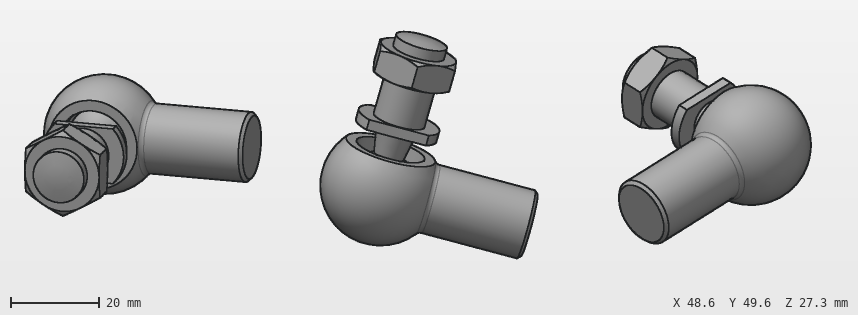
import cadquery as cq
import math

housing_radius = 13.65
face_y = -8.75
tube_radius = 16.0 / 2
tube_end_x = 35.0
tube_chamfer = 0.8
neck_fillet = 1.5
retainer_y = -4.0
retainer_rise = 0.85

ball_radius = tube_radius
neck_radius = 3.75
cone_base_radius = 4.65
collar_top_y = -13.5
collar_thickness = 2.5
collar_radius = 9.5
collar_flat_width = 12.95
stud_radius = 12.0 / 2
stud_end_y = -35.95
dome_height = 0.8

nut_top_y = -25.95
nut_thickness = 6.65
nut_width = 17.6
nut_chamfer_angle = 30
nut_turn_angle = 30


def cylinder_y(radius, start_y, end_y):
    """Solid cylinder along Y between two levels."""
    plane = cq.Workplane("XZ", origin=(0, start_y, 0))
    return plane.circle(radius).extrude(start_y - end_y)


def make_housing():
    blend_r = tube_radius + neck_fillet
    blend_x = math.sqrt((housing_radius + neck_fillet) ** 2 - blend_r ** 2)
    tangent_scale = housing_radius / (housing_radius + neck_fillet)
    sphere_tangent = (blend_x * tangent_scale, blend_r * tangent_scale)
    mid_angle = (math.atan2(-blend_r, -blend_x) - math.pi / 2) / 2
    blend_mid = (
        blend_x + neck_fillet * math.cos(mid_angle),
        blend_r + neck_fillet * math.sin(mid_angle),
    )
    body = (
        cq.Workplane("XY")
        .moveTo(-housing_radius, 0)
        .threePointArc((0, housing_radius), sphere_tangent)
        .threePointArc(blend_mid, (blend_x, tube_radius))
        .lineTo(tube_end_x - tube_chamfer, tube_radius)
        .lineTo(tube_end_x, tube_radius - tube_chamfer)
        .lineTo(tube_end_x, 0)
        .close()
        .revolve(360, (0, 0, 0), (1, 0, 0))
    )
    body = body.cut(cylinder_y(2 * housing_radius, face_y, -2 * housing_radius))
    socket = (
        cq.Workplane("XY")
        .moveTo(0, face_y)
        .lineTo(ball_radius, face_y)
        .lineTo(ball_radius, retainer_y)
        .lineTo(ball_radius - retainer_rise, retainer_y + retainer_rise)
        .lineTo(0, retainer_y + retainer_rise)
        .close()
        .revolve(360, (0, 0, 0), (0, 1, 0))
    )
    return body.cut(socket)


def make_stud():
    taper = (cone_base_radius - neck_radius) / (face_y - collar_top_y)
    neck_start_y = -ball_radius / 2
    neck_start_radius = cone_base_radius - taper * (neck_start_y - collar_top_y)
    shoulder_y = stud_end_y + dome_height
    dome_radius = (stud_radius ** 2 + dome_height ** 2) / (2 * dome_height)
    dome_mid_r = stud_radius / 2
    dome_mid_y = stud_end_y + dome_radius - math.sqrt(dome_radius ** 2 - dome_mid_r ** 2)
    shank = (
        cq.Workplane("XY")
        .moveTo(0, neck_start_y)
        .lineTo(neck_start_radius, neck_start_y)
        .lineTo(cone_base_radius, collar_top_y)
        .lineTo(stud_radius, collar_top_y)
        .lineTo(stud_radius, shoulder_y)
        .threePointArc((dome_mid_r, dome_mid_y), (0, stud_end_y))
        .close()
        .revolve(360, (0, 0, 0), (0, 1, 0))
    )
    collar = cylinder_y(collar_radius, collar_top_y, collar_top_y - collar_thickness)
    flats = cq.Workplane("XY").box(2 * collar_radius, -2 * stud_end_y, collar_flat_width)
    ball = cq.Workplane("XY").sphere(ball_radius)
    return ball.union(shank).union(collar.intersect(flats))


def make_nut():
    corner_radius = nut_width / math.sqrt(3)
    flat_radius = nut_width / 2
    drop = (corner_radius - flat_radius) * math.tan(math.radians(nut_chamfer_angle))
    nut_bottom_y = nut_top_y - nut_thickness
    hexagon = (
        cq.Workplane("XZ", origin=(0, nut_top_y, 0))
        .polygon(6, 2 * corner_radius)
        .extrude(nut_thickness)
        .rotate((0, 0, 0), (0, 1, 0), nut_turn_angle)
    )
    blank = (
        cq.Workplane("XY")
        .moveTo(0, nut_top_y)
        .lineTo(flat_radius, nut_top_y)
        .lineTo(corner_radius, nut_top_y - drop)
        .lineTo(corner_radius, nut_bottom_y + drop)
        .lineTo(flat_radius, nut_bottom_y)
        .lineTo(0, nut_bottom_y)
        .close()
        .revolve(360, (0, 0, 0), (0, 1, 0))
    )
    return hexagon.intersect(blank)


result = make_housing().union(make_stud()).union(make_nut())